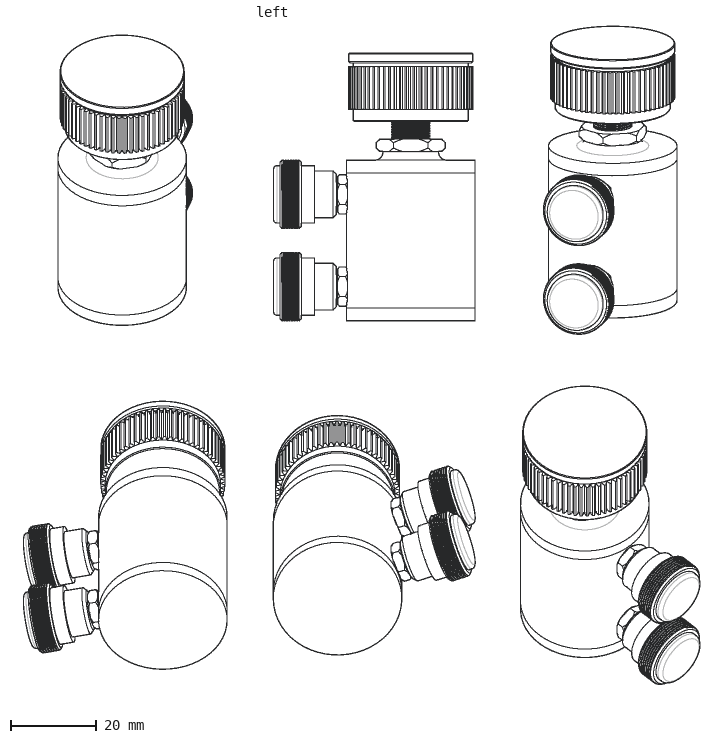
import cadquery as cq
import math


housing_radius = 15.0
cap_height = 3.0
housing_height = 37.5
neck_radius = 6.5
neck_height = 2.0
neck_fillet = 1.9
neck_top = housing_height + neck_height

bushing_radius = 4.45
bushing_nut_flats = 14.0
bushing_nut_height = 2.85
bushing_nut_top = neck_top + bushing_nut_height

nut_corner_fraction = 0.75
thread_pitch = 0.6
thread_depth = 0.3
thread_groove_width = 0.4
thread_overshoot = 0.05

overall_height = 62.42
knob_bottom = 46.5
knob_height = overall_height - knob_bottom
knob_core_radius = 13.45
knob_radius = 14.5
knob_bottom_edge = 0.25
knurl_bottom = 2.8
knurl_height = 10.0
tooth_count = 64
tooth_tip_width = 0.45
dial_thickness = 2.3
dial_top_edge = 0.2
dial_bottom_edge = 0.35

connector_heights = (8.0, 29.5)
connector_nut_back = 14.75
connector_nut_length = 2.3
connector_nut_flats = 8.0
stem_radius = 2.8
barrel_back = 17.35
barrel_radius = 5.5
barrel_chamfer = 0.8
collar_back = 22.4
collar_radius = 6.7
ring_back = 25.5
ring_length = 5.0
ring_radius = 8.0
ring_chamfer = 0.5
connector_front = 32.0
connector_front_fillet = 0.8


def disc(radius, bottom, height):
    return cq.Workplane("XY").workplane(offset=bottom).circle(radius).extrude(height)


def hex_prism(across_flats, height):
    """Solid hexagon with flats on +-X and 45 degree cones taking off the corners at both ends."""
    corner_radius = across_flats / math.sqrt(3)
    blank = cq.Workplane("XY").polygon(6, 2 * corner_radius).extrude(height)
    blank = blank.rotate((0, 0, 0), (0, 0, 1), 30)
    corner_chamfer = nut_corner_fraction * (corner_radius - across_flats / 2)
    face_radius = corner_radius - corner_chamfer
    envelope = (
        cq.Workplane("XZ")
        .polyline([
            (0, 0),
            (face_radius, 0),
            (corner_radius, corner_chamfer),
            (corner_radius, height - corner_chamfer),
            (face_radius, height),
            (0, height),
        ])
        .close()
        .revolve(360, (0, 0, 0), (0, 1, 0))
    )
    return blank.intersect(envelope)


def thread_groove(radius, bottom, length):
    """Helical V groove to cut from a cylinder standing on Z."""
    outer = radius + thread_overshoot
    half_width = thread_groove_width / 2 * (1 + thread_overshoot / thread_depth)
    path = cq.Wire.makeHelix(thread_pitch, length, radius, cq.Vector(0, 0, bottom))
    return (
        cq.Workplane("XZ")
        .polyline([
            (radius - thread_depth, bottom),
            (outer, bottom + half_width),
            (outer, bottom - half_width),
        ])
        .close()
        .sweep(cq.Workplane(obj=path), isFrenet=True)
    )


def make_bottom_cap():
    return disc(housing_radius, 0, cap_height)


def make_top_cap():
    flare_radius = neck_radius + neck_fillet
    arc_offset = neck_fillet * (1 - math.sqrt(0.5))
    return (
        cq.Workplane("XZ")
        .moveTo(0, housing_height - cap_height)
        .lineTo(housing_radius, housing_height - cap_height)
        .lineTo(housing_radius, housing_height)
        .lineTo(flare_radius, housing_height)
        .threePointArc(
            (neck_radius + arc_offset, housing_height + arc_offset),
            (neck_radius, housing_height + neck_fillet),
        )
        .lineTo(neck_radius, neck_top)
        .lineTo(0, neck_top)
        .close()
        .revolve(360, (0, 0, 0), (0, 1, 0))
    )


def make_bushing():
    shank = disc(bushing_radius, neck_top, knob_bottom - neck_top)
    groove = thread_groove(bushing_radius, bushing_nut_top, knob_bottom - bushing_nut_top)
    return shank.cut(groove)


def make_bushing_nut():
    bore = disc(bushing_radius, 0, bushing_nut_height)
    nut = hex_prism(bushing_nut_flats, bushing_nut_height).cut(bore)
    return nut.translate((0, 0, neck_top))


def knurl_outline():
    """Closed outline of straight V grooves between flat-topped teeth."""
    tooth_step = 2 * math.pi / tooth_count
    tip_half_angle = tooth_tip_width / 2 / knob_radius
    points = []
    for tooth in range(tooth_count):
        groove_angle = tooth * tooth_step
        tip_angle = groove_angle + tooth_step / 2
        for radius, angle in (
            (knob_core_radius, groove_angle),
            (knob_radius, tip_angle - tip_half_angle),
            (knob_radius, tip_angle + tip_half_angle),
        ):
            points.append((radius * math.cos(angle), radius * math.sin(angle)))
    return points


def make_knob():
    core = disc(knob_core_radius, 0, knob_height - dial_thickness)
    core = core.faces("<Z").edges().chamfer(knob_bottom_edge)
    knurl = (
        cq.Workplane("XY")
        .workplane(offset=knurl_bottom)
        .polyline(knurl_outline())
        .close()
        .extrude(knurl_height)
    )
    dial = disc(knob_radius, knob_height - dial_thickness, dial_thickness)
    dial = dial.faces(">Z").edges().chamfer(dial_top_edge)
    dial = dial.faces("<Z").edges().chamfer(dial_bottom_edge)
    return core.union(knurl).union(dial).translate((0, 0, knob_bottom))


def place_connector(part, height):
    """Turn a part built along Z to point along +Y at the given height."""
    return part.rotate((0, 0, 0), (1, 0, 0), -90).translate((0, 0, height))


def connector_hexagon(height):
    """Solid envelope of a connector nut, in place."""
    hexagon = hex_prism(connector_nut_flats, connector_nut_length)
    return place_connector(hexagon.translate((0, 0, connector_nut_back)), height)


def make_connector_nut(height):
    bore = disc(stem_radius, connector_nut_back, connector_nut_length)
    return connector_hexagon(height).cut(place_connector(bore, height))


def make_connector(height):
    stem = disc(stem_radius, connector_nut_back, barrel_back - connector_nut_back)
    barrel = disc(barrel_radius, barrel_back, collar_back - barrel_back)
    barrel = barrel.faces("<Z").edges().chamfer(barrel_chamfer)
    collar = disc(collar_radius, collar_back, connector_front - collar_back)
    collar = collar.faces(">Z").edges().fillet(connector_front_fillet)
    ring = disc(ring_radius, ring_back, ring_length).edges().chamfer(ring_chamfer)
    groove_start = ring_back + ring_chamfer
    groove_length = ring_length - 2 * ring_chamfer
    ring = ring.cut(thread_groove(ring_radius, groove_start, groove_length))
    body = stem.union(barrel).union(collar).union(ring)
    return place_connector(body, height)


def make_sleeve():
    """Solid cylinder with a shallow recess behind each connector nut."""
    sleeve = disc(housing_radius, cap_height, housing_height - 2 * cap_height)
    for height in connector_heights:
        sleeve = sleeve.cut(connector_hexagon(height))
    return sleeve


bottom_cap = make_bottom_cap()
sleeve = make_sleeve()
top_cap = make_top_cap()
bushing = make_bushing()
bushing_nut = make_bushing_nut()
knob = make_knob()

connector_solids = []
for connector_height in connector_heights:
    connector_solids.append(make_connector_nut(connector_height).val())
    connector_solids.append(make_connector(connector_height).val())

result = cq.Compound.makeCompound([
    bottom_cap.val(),
    sleeve.val(),
    top_cap.val(),
    bushing.val(),
    bushing_nut.val(),
    knob.val(),
    *connector_solids,
])